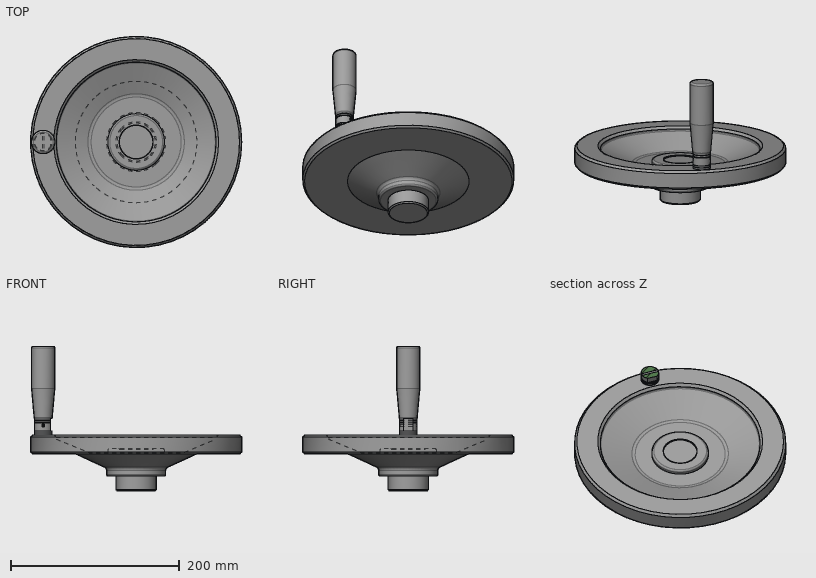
import cadquery as cq
import math


rim_radius = 125.0
rim_inner_radius = 97.5
rim_bottom = 43.8
rim_height = 22.5
rim_top = rim_bottom + rim_height
rim_top_chamfer = 2.8
rim_bottom_chamfer = 2.2

floor_height = 44.8
floor_radius = 55.2
floor_blend = 10.0
dish_radius = 94.5
dish_height = 61.0
dish_blend = 1.2
underside_slope = math.radians(24.7)

boss_radius = 24.0
boss_height = 17.2
boss_chamfer = 1.5
hub_radius = 35.0
hub_cone_height = 26.8
hub_cone_blend = 4.2
hub_edge_fillet = 2.0
pad_radius = 33.5
pad_top = 50.0
pad_fillet = 2.2

recess_radius = 19.8
recess_depth = 1.2
recess_chamfer = 0.38

handle_x = -110.0
neck_radius = 10.5
neck_top = 85.5
grip_diameter = 27.8
grip_radius = grip_diameter / 2
grip_end_radius = 10.8
grip_bottom = 86.5
grip_shoulder = 121.2
handle_top = 171.0
grip_fillet = 2.2

wide_groove_height = 80.8
wide_groove_width = 0.8
fine_groove_heights = [68.5, 70.8, 83.5]
fine_groove_width = 0.2
groove_depth = 0.2
flat_offset = 8.8
flat_bottom = 70.8
pin_hole_diameter = 2.0
pin_hole_mouth_diameter = 3.5
pin_hole_height = 77.2


def ring_edges(body, radius, height):
    """Circular edges centred on the Z axis at the given radius and height."""
    tolerance = 0.02

    def matches(edge):
        start = edge.startPoint()
        right_radius = abs(math.hypot(start.x, start.y) - radius) < tolerance
        right_height = abs(edge.Center().z - height) < tolerance
        return edge.geomType() == "CIRCLE" and right_radius and right_height

    return body.newObject([edge for edge in body.edges().vals() if matches(edge)])


def make_wheel():
    """Revolved wheel with the edges of its rim, dish and hub blended."""
    cone_rise = rim_bottom - hub_cone_height
    cone_outer_radius = hub_radius + cone_rise / math.tan(underside_slope)
    outline = [
        (0, 0),
        (boss_radius, 0),
        (boss_radius, boss_height),
        (hub_radius, boss_height),
        (hub_radius, hub_cone_height),
        (cone_outer_radius, rim_bottom),
        (rim_radius, rim_bottom),
        (rim_radius, rim_top),
        (rim_inner_radius, rim_top),
        (dish_radius, rim_top - (rim_inner_radius - dish_radius)),
        (dish_radius, dish_height),
        (floor_radius, floor_height),
        (pad_radius, floor_height),
        (pad_radius, pad_top),
        (0, pad_top),
    ]
    wheel = cq.Workplane("XZ").polyline(outline).close().revolve(360, (0, 0), (0, 1))

    for radius, height, size in [
        (boss_radius, 0, boss_chamfer),
        (rim_radius, rim_bottom, rim_bottom_chamfer),
        (rim_radius, rim_top, rim_top_chamfer),
    ]:
        wheel = ring_edges(wheel, radius, height).chamfer(size)

    for radius, height, size in [
        (hub_radius, boss_height, hub_edge_fillet),
        (hub_radius, hub_cone_height, hub_cone_blend),
        (dish_radius, dish_height, dish_blend),
        (floor_radius, floor_height, floor_blend),
        (pad_radius, pad_top, pad_fillet),
    ]:
        wheel = ring_edges(wheel, radius, height).fillet(size)
    return wheel


def make_recess():
    """Disc-shaped cutter with a chamfered mouth."""
    mouth_radius = recess_radius + recess_chamfer
    outline = [
        (0, pad_top - recess_depth),
        (recess_radius, pad_top - recess_depth),
        (recess_radius, pad_top - recess_chamfer),
        (mouth_radius, pad_top),
        (0, pad_top),
    ]
    return cq.Workplane("XZ").polyline(outline).close().revolve(360, (0, 0), (0, 1))


def make_groove_ring(height, width):
    """Ring cutter for a groove around the neck, centred on the given height."""
    return (
        cq.Workplane("XY", origin=(0, 0, height - width / 2))
        .circle(neck_radius + groove_depth)
        .circle(neck_radius - groove_depth)
        .extrude(width)
    )


def make_pin_hole():
    """Cutter along Y: a through hole with a conical mouth on the -Y side."""
    hole_radius = pin_hole_diameter / 2
    mouth_radius = pin_hole_mouth_diameter / 2
    mouth_depth = mouth_radius - hole_radius
    outline = [
        (0, -neck_radius),
        (mouth_radius, -neck_radius),
        (hole_radius, -neck_radius + mouth_depth),
        (hole_radius, neck_radius),
        (0, neck_radius),
    ]
    cutter = cq.Workplane("XY").polyline(outline).close().revolve(360, (0, 0), (0, 1))
    return cutter.translate((0, 0, pin_hole_height))


def make_handle():
    """Grip and neck, modelled around the Z axis."""
    outline = [
        (0, rim_top),
        (neck_radius, rim_top),
        (neck_radius, neck_top),
        (grip_end_radius, grip_bottom),
        (grip_radius, grip_shoulder),
        (grip_radius, handle_top),
        (0, handle_top),
    ]
    handle = cq.Workplane("XZ").polyline(outline).close().revolve(360, (0, 0), (0, 1))
    handle = handle.faces(">Z").edges().fillet(grip_fillet)

    handle = handle.cut(make_groove_ring(wide_groove_height, wide_groove_width))
    for height in fine_groove_heights:
        handle = handle.cut(make_groove_ring(height, fine_groove_width))

    flat_cutter = cq.Workplane("XY").box(
        neck_radius,
        2 * neck_radius,
        neck_top - flat_bottom,
        centered=(False, True, False),
    )
    handle = handle.cut(flat_cutter.translate((flat_offset, 0, flat_bottom)))
    return handle.cut(make_pin_hole())


wheel = make_wheel().cut(make_recess())
handle = make_handle().translate((handle_x, 0, 0))
result = wheel.union(handle)